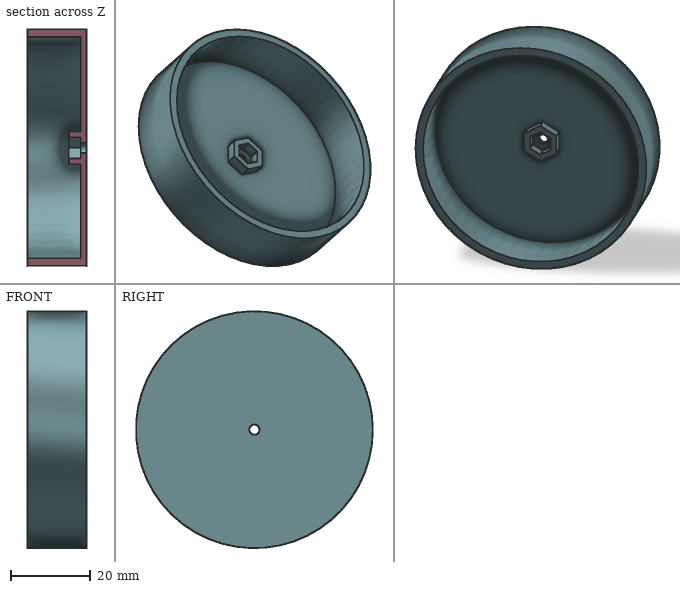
import cadquery as cq
import math

outer_diameter = 60
width = 15
cavity_diameter = 56.0
floor_thickness = 1.5

boss_flats = 8.35
boss_height = 3
socket_flats = 5.35
socket_depth = 3
bolt_hole_diameter = 2.5

floor_x = width / 2 - floor_thickness
boss_end_x = floor_x - boss_height


def cylinder(diameter, start_x, length):
    """Cylinder on the X axis, growing towards +X."""
    return cq.Workplane("YZ", origin=(start_x, 0, 0)).circle(diameter / 2).extrude(length)


def hexagon(flats, start_x, length):
    """Hexagonal prism on the X axis with two corners on the Z axis."""
    corner_diameter = flats / math.cos(math.pi / 6)
    plane = cq.Plane(origin=(start_x, 0, 0), xDir=(0, 0, 1), normal=(1, 0, 0))
    return cq.Workplane(plane).polygon(6, corner_diameter).extrude(length)


cup = cylinder(outer_diameter, -width / 2, width)
cup = cup.cut(cylinder(cavity_diameter, -width / 2, width - floor_thickness))

boss = hexagon(boss_flats, boss_end_x, boss_height)
socket = hexagon(socket_flats, boss_end_x, socket_depth)
bolt_hole = cylinder(bolt_hole_diameter, -width / 2, width)

result = cup.union(boss).cut(socket).cut(bolt_hole)